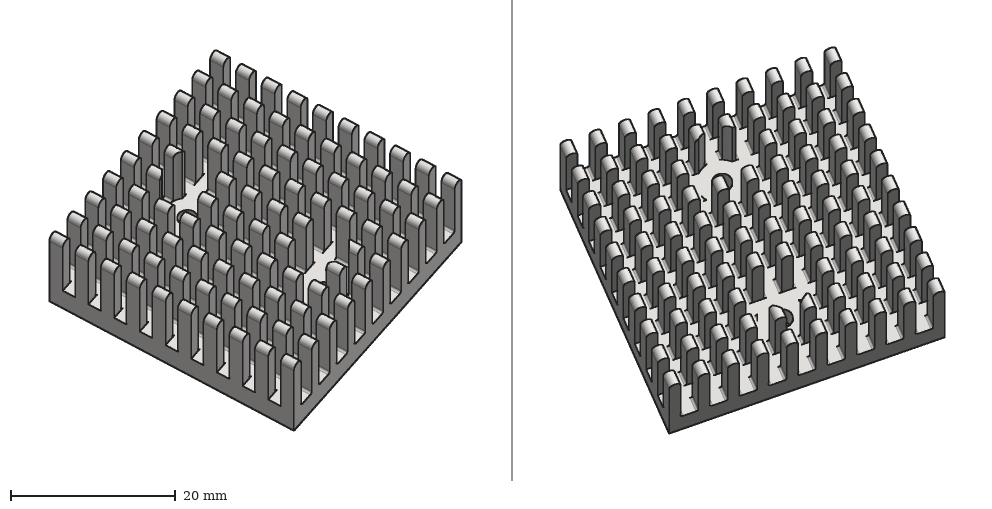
import cadquery as cq

side = 36.0
height = 12.3

pins_per_side = 10
pin_width = 1.98
pin_thickness = 1.5
base_thickness = 3.4
root_fillet = 0.32
tip_radius = pin_thickness / 2

column_pitch = (side - pin_width) / (pins_per_side - 1)
row_pitch = (side - pin_thickness) / (pins_per_side - 1)

hole_spacing = 20.0
hole_diameter = 2.5
clearance_diameter = 6.23


def row_profile():
    """Closed YZ outline of the base with its round-topped rows."""
    shoulder = height - tip_radius
    outline = cq.Workplane("YZ", origin=(-side / 2, 0, 0)).moveTo(-side / 2, 0)
    for row in range(pins_per_side):
        left = -side / 2 + row * row_pitch
        right = left + pin_thickness
        outline = outline.lineTo(left, shoulder)
        outline = outline.threePointArc((left + tip_radius, height), (right, shoulder))
        if row < pins_per_side - 1:
            next_left = left + row_pitch
            outline = (
                outline.lineTo(right, base_thickness + root_fillet)
                .radiusArc((right + root_fillet, base_thickness), -root_fillet)
                .lineTo(next_left - root_fillet, base_thickness)
                .radiusArc((next_left, base_thickness + root_fillet), -root_fillet)
            )
    return outline.lineTo(side / 2, 0).close()


def column_cuts():
    """Square-bottomed cuts along Y that divide the rows into pins."""
    gap = column_pitch - pin_width
    return (
        cq.Workplane("XY", origin=(0, 0, base_thickness))
        .rarray(column_pitch, 0.35, pins_per_side - 1, 1)
        .rect(gap, side)
        .extrude(height - base_thickness)
    )


def screw_circles(diameter, bottom):
    """Pair of cylinders on the screw axes, from the given level up to the pin tips."""
    return (
        cq.Workplane("XY", origin=(0, 0, bottom))
        .rarray(hole_spacing, 0.35, 2, 1)
        .circle(diameter / 2)
        .extrude(height - bottom)
    )


result = row_profile().extrude(side)
result = result.cut(column_cuts())
result = result.cut(screw_circles(clearance_diameter, base_thickness))
result = result.cut(screw_circles(hole_diameter, 0))